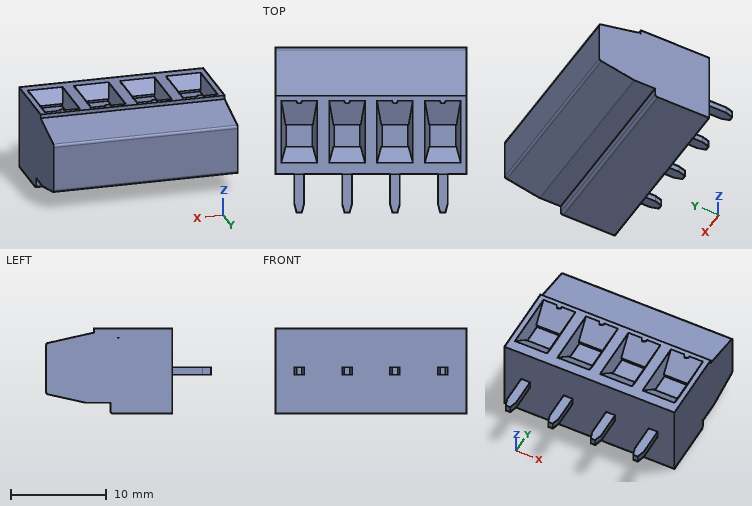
import cadquery as cq


pole_count = 4
pole_pitch = 5.0

overall_length = 17.25
body_length = pole_count * pole_pitch
body_depth = 13.22
body_height = 8.9
top_land_depth = 8.2
top_step_drop = 0.42
foot_depth = 6.5
foot_rise = 1.12
underside_flat_end = 9.05
back_face_bottom = 2.05
back_face_top = 7.35
corner_radius = 0.3

pin_length = overall_length - body_depth
pin_width = 1.05
pin_thickness = 0.8
pin_tip_width = 0.55
pin_tip_length = 0.9
pin_center_z = body_height / 2

funnel_width = 3.75
funnel_floor_width = 2.68
funnel_front = 1.2
funnel_back = 7.68
floor_front = 2.83
floor_back = 5.15
funnel_slope_depth = 1.22
funnel_depth = 1.45
rib_radius = 0.3


def make_housing():
    """Side outline of the housing, extruded along X, with its small corners rounded."""
    outline = [
        (0, 0),
        (foot_depth, 0),
        (foot_depth, foot_rise),
        (underside_flat_end, foot_rise),
        (body_depth, back_face_bottom),
        (body_depth, back_face_top),
        (top_land_depth, body_height - top_step_drop),
        (top_land_depth, body_height),
        (0, body_height),
    ]
    housing = cq.Workplane("YZ").polyline(outline).close().extrude(body_length / 2, both=True)
    housing = housing.edges("|X and >Y").fillet(corner_radius)
    foot_corner = cq.selectors.NearestToPointSelector((0, foot_depth, 0))
    return housing.edges(foot_corner).fillet(corner_radius)


def make_funnel():
    """Tapered funnel centred on X = 0, less the small rib on its back wall."""
    slope_end_z = body_height - funnel_slope_depth
    floor_z = body_height - funnel_depth
    lengthwise = (
        cq.Workplane("YZ")
        .polyline([
            (funnel_front, body_height),
            (floor_front, slope_end_z),
            (floor_front, floor_z),
            (floor_back, floor_z),
            (floor_back, slope_end_z),
            (funnel_back, body_height),
        ])
        .close()
        .extrude(funnel_width, both=True)
    )
    crosswise = (
        cq.Workplane("XZ")
        .polyline([
            (-funnel_width / 2, body_height),
            (-funnel_floor_width / 2, floor_z),
            (funnel_floor_width / 2, floor_z),
            (funnel_width / 2, body_height),
        ])
        .close()
        .extrude(-body_depth)
    )
    rib = (
        cq.Workplane("XY", origin=(0, funnel_back, floor_z))
        .circle(rib_radius)
        .extrude(funnel_depth)
    )
    return lengthwise.intersect(crosswise).cut(rib)


def make_pin():
    """Flat pin centred on X = 0 with a tapered tip."""
    taper_start = -(pin_length - pin_tip_length)
    return (
        cq.Workplane("XY", origin=(0, 0, pin_center_z))
        .polyline([
            (-pin_width / 2, 0),
            (-pin_width / 2, taper_start),
            (-pin_tip_width / 2, -pin_length),
            (pin_tip_width / 2, -pin_length),
            (pin_width / 2, taper_start),
            (pin_width / 2, 0),
        ])
        .close()
        .extrude(pin_thickness / 2, both=True)
    )


result = make_housing()
funnel = make_funnel()
pin = make_pin()
for pole in range(pole_count):
    pole_x = (pole - (pole_count - 1) / 2) * pole_pitch
    result = result.cut(funnel.translate((pole_x, 0, 0)))
    result = result.union(pin.translate((pole_x, 0, 0)))